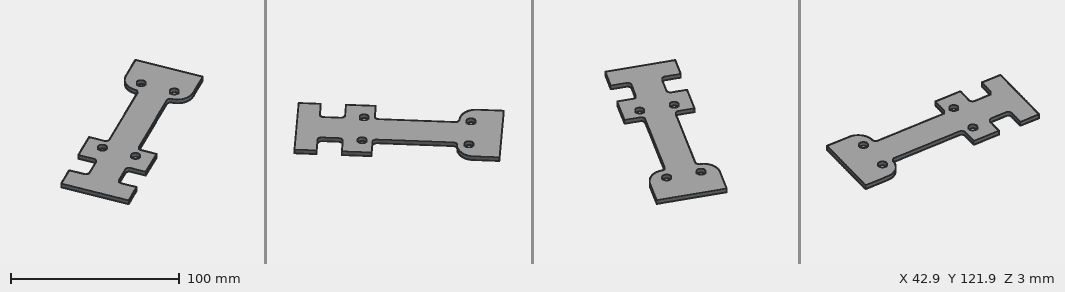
import cadquery as cq
import math

length = 121.9
width = 42.9
thickness = 3.0

stem_width = 18.8
head_bottom = 35.2
crossbar_top = -15.1
crossbar_bottom = -32.8
foot_top = -47.8
head_radius = 10.0
inner_radius = 2.4

hole_diameter = 5.5
hole_spacing = 21.1
hole_rows = (42.2, -21.3)

edge_x = width / 2
stem_x = stem_width / 2
fillet_x = stem_x + inner_radius

head_center_x = edge_x - head_radius
head_center_y = head_bottom + head_radius
center_distance = head_radius + inner_radius
center_offset_x = fillet_x - head_center_x
center_offset_y = math.sqrt(center_distance**2 - center_offset_x**2)
stem_top = head_center_y - center_offset_y
join_x = head_center_x + center_offset_x * head_radius / center_distance
join_y = head_center_y - center_offset_y * head_radius / center_distance

half_outline = (
    cq.Workplane("XY")
    .moveTo(0, length / 2)
    .lineTo(edge_x, length / 2)
    .lineTo(edge_x, head_center_y)
    .radiusArc((join_x, join_y), head_radius)
    .radiusArc((stem_x, stem_top), -inner_radius)
    .lineTo(stem_x, crossbar_top + inner_radius)
    .radiusArc((fillet_x, crossbar_top), -inner_radius)
    .lineTo(edge_x, crossbar_top)
    .lineTo(edge_x, crossbar_bottom)
    .lineTo(fillet_x, crossbar_bottom)
    .radiusArc((stem_x, crossbar_bottom - inner_radius), -inner_radius)
    .lineTo(stem_x, foot_top + inner_radius)
    .radiusArc((fillet_x, foot_top), -inner_radius)
    .lineTo(edge_x, foot_top)
    .lineTo(edge_x, -length / 2)
    .lineTo(0, -length / 2)
)
plate = half_outline.mirrorY().extrude(thickness)

hole_points = [(side * hole_spacing / 2, y) for side in (-1, 1) for y in hole_rows]
holes = cq.Workplane("XY").pushPoints(hole_points).circle(hole_diameter / 2).extrude(thickness)

result = plate.cut(holes).clean()